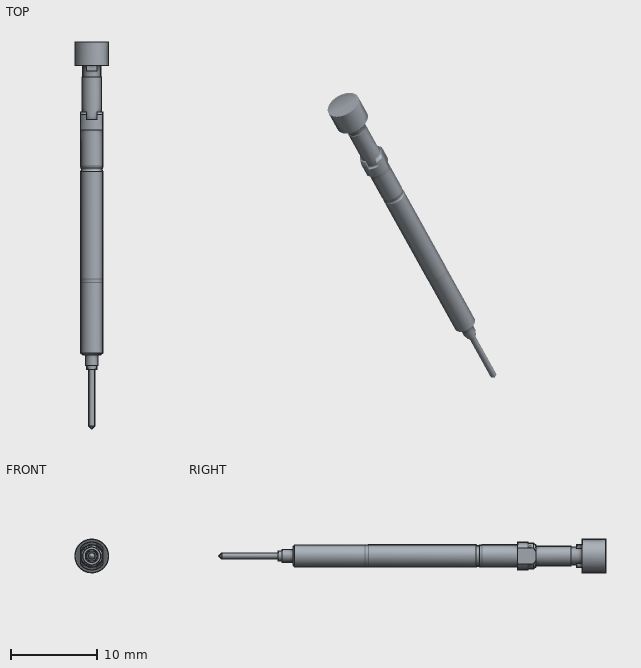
import cadquery as cq

total_length = 44.8

head_radius = 1.95
head_end = 2.75
neck_radius = 1.05
neck_end = 4.05
barrel_radius = 1.15
barrel_end = 8.1
collar_radius = 1.61
collar_end = 10.2
body_radius = 1.3
body_end = 36.0
step_radius = 1.03
step_end = 36.2
sleeve_radius = 0.75
sleeve_end = 37.45
bushing_radius = 0.6
bushing_end = 37.9
pin_radius = 0.37

collar_chamfer_length = 0.3
collar_nose_radius = 1.4
flats_width = 2 * body_radius

groove_start = 14.35
groove_floor_start = 14.6
groove_end = 15.0
groove_edge_radius = 1.25
groove_radius = 1.2

taper_start = 27.45
taper_end = 27.85
rear_body_radius = 1.28

lug_width = 1.25
lug_end = 3.4
lug_height = 2.65
slot_width = 1.2
slot_end = 9.0


def cylinder(radius, start, end):
    """Cylinder on the probe axis between two stations."""
    return cq.Workplane("XZ").workplane(offset=start).circle(radius).extrude(end - start)


def frustum(start_radius, end_radius, start, end):
    """Cone frustum on the probe axis between two stations."""
    outline = [(0, -start), (start_radius, -start), (end_radius, -end), (0, -end)]
    return cq.Workplane("XY").polyline(outline).close().revolve(360, (0, 0, 0), (0, 1, 0))


def bar(width, height, start, end):
    """Rectangular bar centred on the probe axis between two stations."""
    return cq.Workplane("XZ").workplane(offset=start).rect(width, height).extrude(end - start)


def make_plunger():
    """Round head on a thinner neck, with two lugs under the head."""
    head = cylinder(head_radius, 0, head_end)
    neck = cylinder(neck_radius, head_end, neck_end)
    lugs = bar(lug_width, lug_height, head_end, lug_end)
    return head.union(neck).union(lugs)


def make_collar():
    """Chamfered collar with two side flats and a lug slot at top and bottom."""
    nose_end = barrel_end + collar_chamfer_length
    collar = frustum(collar_nose_radius, collar_radius, barrel_end, nose_end)
    collar = collar.union(cylinder(collar_radius, nose_end, collar_end))
    collar_height = 2 * collar_radius
    flats = bar(flats_width, collar_height, barrel_end, collar_end)
    slots = bar(slot_width, collar_height, barrel_end, slot_end)
    return collar.intersect(flats).cut(slots)


def make_body():
    """Round body with a snap groove and a slightly thinner rear length."""
    groove_middle = (groove_floor_start + groove_end) / 2
    outline = (
        cq.Workplane("XY")
        .moveTo(0, -collar_end)
        .lineTo(body_radius, -collar_end)
        .lineTo(body_radius, -groove_start)
        .lineTo(groove_edge_radius, -groove_floor_start)
        .threePointArc((groove_radius, -groove_middle), (body_radius, -groove_end))
        .lineTo(body_radius, -taper_start)
        .lineTo(rear_body_radius, -taper_end)
        .lineTo(rear_body_radius, -body_end)
        .lineTo(0, -body_end)
        .close()
    )
    return outline.revolve(360, (0, 0, 0), (0, 1, 0))


def make_contact_end():
    """Tapered shoulder, stepped sleeve and the contact pin with its 90 degree point."""
    shoulder = frustum(rear_body_radius, step_radius, body_end, step_end)
    sleeve = cylinder(sleeve_radius, step_end, sleeve_end)
    bushing = cylinder(bushing_radius, sleeve_end, bushing_end)
    pin_end = total_length - pin_radius
    pin = cylinder(pin_radius, bushing_end, pin_end)
    point_outline = cq.Workplane("XY").polyline([(0, -pin_end), (pin_radius, -pin_end), (0, -total_length)])
    point = point_outline.close().revolve(360, (0, 0, 0), (0, 1, 0))
    return shoulder.union(sleeve).union(bushing).union(pin).union(point)


barrel = cylinder(barrel_radius, neck_end, collar_end)
result = make_plunger().union(barrel).union(make_collar()).union(make_body()).union(make_contact_end())